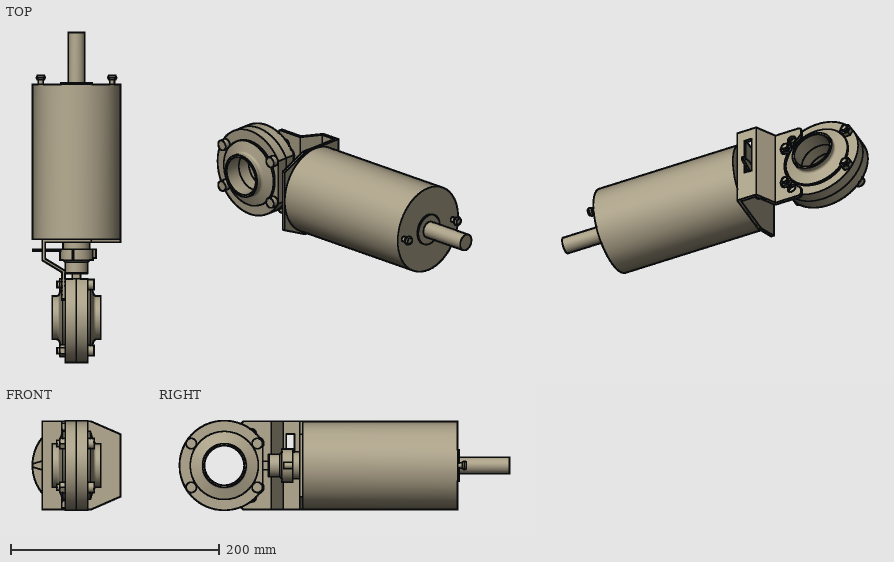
import cadquery as cq
import math


flange_diameter = 86.43
flange_width = 22.0
half_width = flange_width / 2
stem_flat_y = 37.2
boss_diameter = 65.5
boss_height = 2.3
cone_end_diameter = 46.0
cone_end_x = 16.5
pipe_diameter = 42.0
pipe_fillet_end_x = 19.6
pipe_end_x = 23.5
bore_diameter = 38.0

seal_diameter = 54.0
seal_width = 13.4

bolt_y = 31.75
bolt_z = 21.05
bolt_places = [(y, z) for y in (-bolt_y, bolt_y) for z in (-bolt_z, bolt_z)]
bolt_diameter = 6.0
bolt_head_diameter = 10.0
bolt_head_height = 6.0
bolt_tip_length = 2.6
nut_across_flats = 10.0
nut_corner_diameter = nut_across_flats / math.cos(math.pi / 6)
nut_height = 5.2
nut_chamfer = 0.6

actuator_diameter = 85.0
actuator_length = 149.0
overall_length = 317.56
rod_diameter = 16.0
rod_length = 50.0
rod_end_y = overall_length - flange_diameter / 2
actuator_top_y = rod_end_y - rod_length
actuator_bottom_y = actuator_top_y - actuator_length
collar_diameter = 30.0
collar_height = 1.5
plug_offset = 34.3
plug_neck_diameter = 5.0
plug_neck_length = 4.5
plug_head_diameter = 8.5
plug_face_diameter = 6.5
plug_head_height = 4.0

sheet = 3.0
bracket_width = 85.0
plate_top_y = actuator_bottom_y
plate_bottom_y = plate_top_y - sheet
plate_end_x = actuator_diameter / 2
plate_taper_x = 14.0
plate_end_width = 60.0
wall_outer_x = -33.0
foot_inner_x = -half_width
foot_outer_x = foot_inner_x - sheet
upper_bend_y = 55.0
bend_angle = math.radians(31)
lower_bend_y = upper_bend_y - (foot_outer_x - wall_outer_x) * math.tan(bend_angle)
bend_shift = sheet * math.tan((math.pi / 2 - bend_angle) / 2)
foot_end_y = 16.5
foot_corner_chamfer = 1.8
notch_radius = 34.2
notch_corner_z = 33.8
notch_throat_z = 21.0
notch_throat_y = math.sqrt(notch_radius**2 - notch_throat_z**2)
nut_clearance_diameter = 12.0
mount_hole_diameter = 8.5
mount_hole_y = 26.3
mount_hole_z = 30.7
window_y = 63.6
window_width = 7.7
window_bottom_z = -10.2
window_top_z = 30.0

neck_diameter = 26.0
sleeve_diameter = 22.0
sleeve_bottom_y = 42.4
sleeve_chamfer = 0.7
shoulder_height = (neck_diameter - sleeve_diameter) / 2
stem_size = 8.2

ring_diameter = 32.0
ring_top_y = 65.9
ring_bottom_y = 55.4
pointer_thickness = 2.0
pointer_tip_x = -42.0
pointer_tip_width = 3.2
pointer_root_x = -14.0
pointer_shoulder_x = -30.0
pointer_slope = 0.3
pointer_root_width = pointer_tip_width + 2 * pointer_slope * (pointer_shoulder_x - pointer_tip_x)
lug_end_x = 18.8
lug_height = 8.6
lug_width = 6.0
slit_x = -3.4
slit_width = 1.5


def rod_y(diameter, y_start, y_end, x=0, z=0):
    """Cylinder parallel to the Y axis."""
    base = cq.Workplane("XZ", origin=(x, y_start, z)).circle(diameter / 2)
    return base.extrude(-(y_end - y_start))


def rod_x(diameter, x_start, x_end, y=0, z=0):
    """Cylinder parallel to the X axis."""
    base = cq.Workplane("YZ", origin=(x_start, y, z)).circle(diameter / 2)
    return base.extrude(x_end - x_start)


def make_stem():
    """Square stem from the seal up to the underside of the coupling sleeve."""
    stem = cq.Workplane("XY").box(stem_size, sleeve_bottom_y, stem_size)
    stem = stem.translate((0, sleeve_bottom_y / 2, 0))
    return stem.cut(rod_x(seal_diameter, -half_width, half_width))


def make_seal():
    """Flat ring lining the middle of the bore."""
    ring = rod_x(seal_diameter, -seal_width / 2, seal_width / 2)
    return ring.cut(rod_x(bore_diameter, -seal_width / 2, seal_width / 2))


def make_plain_half():
    """Valve half on the +X side: rim, boss, cone and pipe stub, without bolt heads."""
    boss_x = half_width + boss_height
    arc_bulge = math.sqrt(0.5)
    fillet_rise = (cone_end_diameter - pipe_diameter) / 2
    fillet_run = pipe_fillet_end_x - cone_end_x
    arc_middle = (
        pipe_fillet_end_x - fillet_run * arc_bulge,
        pipe_diameter / 2 + fillet_rise * (1 - arc_bulge),
    )
    half = (
        cq.Workplane("XY")
        .moveTo(0, bore_diameter / 2)
        .lineTo(0, flange_diameter / 2)
        .lineTo(half_width, flange_diameter / 2)
        .lineTo(half_width, boss_diameter / 2)
        .lineTo(boss_x, boss_diameter / 2)
        .lineTo(cone_end_x, cone_end_diameter / 2)
        .threePointArc(arc_middle, (pipe_fillet_end_x, pipe_diameter / 2))
        .lineTo(pipe_end_x, pipe_diameter / 2)
        .lineTo(pipe_end_x, bore_diameter / 2)
        .close()
        .revolve(360, (0, 0, 0), (1, 0, 0))
    )
    beyond_flat = cq.Workplane("XY").box(
        flange_width * 2, flange_diameter, flange_diameter
    ).translate((0, stem_flat_y + flange_diameter / 2, 0))
    seal_recess = rod_x(seal_diameter, -seal_width / 2, seal_width / 2)
    return half.cut(beyond_flat).cut(seal_recess).cut(make_stem())


def make_nut(y, z):
    """Hex nut standing on the -X face, its outer corners chamfered, with the bolt tip."""
    hexagon = (
        cq.Workplane("YZ", origin=(-half_width, y, z))
        .polygon(6, nut_corner_diameter)
        .extrude(-nut_height)
    )
    rounding = rod_x(nut_corner_diameter, -half_width - nut_height, -half_width, y, z)
    rounding = rounding.faces("<X").chamfer(nut_chamfer)
    tip = rod_x(bolt_diameter, -half_width - nut_height - bolt_tip_length, -half_width, y, z)
    return hexagon.intersect(rounding).union(tip)


def make_head_half():
    """Valve half on the +X side with the round bolt heads."""
    half = make_plain_half()
    for y, z in bolt_places:
        half = half.union(rod_x(bolt_head_diameter, half_width, half_width + bolt_head_height, y, z))
    return half


def make_nut_half():
    """Valve half on the -X side with the nuts and bolt tips."""
    half = make_plain_half().mirror("YZ")
    for y, z in bolt_places:
        half = half.union(make_nut(y, z))
    return half


def make_coupling():
    """Square stem, sleeve and wider neck, reaching the actuator through the bracket."""
    shoulder_bottom_y = ring_bottom_y - shoulder_height
    sleeve = rod_y(sleeve_diameter, sleeve_bottom_y, shoulder_bottom_y)
    sleeve = sleeve.faces("<Y").chamfer(sleeve_chamfer)
    shoulder = (
        cq.Workplane("XY")
        .moveTo(0, shoulder_bottom_y)
        .lineTo(sleeve_diameter / 2, shoulder_bottom_y)
        .lineTo(neck_diameter / 2, ring_bottom_y)
        .lineTo(0, ring_bottom_y)
        .close()
        .revolve(360, (0, 0, 0), (0, 1, 0))
    )
    neck = rod_y(neck_diameter, ring_bottom_y, plate_top_y)
    return make_stem().union(sleeve).union(shoulder).union(neck)


def make_indicator():
    """Slit ring round the coupling neck with a tapered pointer and a round-ended lug."""
    ring = rod_y(ring_diameter, ring_bottom_y, ring_top_y)
    pointer = (
        cq.Workplane("XZ", origin=(0, ring_top_y, 0))
        .polyline([
            (pointer_tip_x, -pointer_tip_width / 2),
            (pointer_shoulder_x, -pointer_root_width / 2),
            (pointer_root_x, -pointer_root_width / 2),
            (pointer_root_x, pointer_root_width / 2),
            (pointer_shoulder_x, pointer_root_width / 2),
            (pointer_tip_x, pointer_tip_width / 2),
        ])
        .close()
        .extrude(pointer_thickness)
    )
    lug_centre_x = lug_end_x - lug_width / 2
    lug = cq.Workplane("XY").box(lug_centre_x, lug_height, lug_width).translate(
        (lug_centre_x / 2, ring_top_y - lug_height / 2, 0)
    )
    lug = lug.union(rod_y(lug_width, ring_top_y - lug_height, ring_top_y, lug_centre_x))
    slit = cq.Workplane("XY").box(slit_width, ring_top_y, ring_diameter).translate(
        (slit_x, ring_top_y, ring_diameter / 2)
    )
    neck_hole = rod_y(neck_diameter, ring_bottom_y, ring_top_y)
    return ring.union(pointer).union(lug).cut(slit).cut(neck_hole)


def make_bracket():
    """Folded sheet from the actuator end down to the valve flange."""
    sheet_profile = (
        cq.Workplane("XY", origin=(0, 0, -bracket_width / 2))
        .polyline([
            (plate_end_x, plate_top_y),
            (wall_outer_x, plate_top_y),
            (wall_outer_x, upper_bend_y),
            (foot_outer_x, lower_bend_y),
            (foot_outer_x, foot_end_y),
            (foot_inner_x, foot_end_y),
            (foot_inner_x, lower_bend_y + bend_shift),
            (wall_outer_x + sheet, upper_bend_y + bend_shift),
            (wall_outer_x + sheet, plate_bottom_y),
            (plate_end_x, plate_bottom_y),
        ])
        .close()
        .extrude(bracket_width)
    )
    plate_outline = (
        cq.Workplane("XZ", origin=(0, plate_top_y, 0))
        .polyline([
            (wall_outer_x, -bracket_width / 2),
            (plate_taper_x, -bracket_width / 2),
            (plate_end_x, -plate_end_width / 2),
            (plate_end_x, plate_end_width / 2),
            (plate_taper_x, bracket_width / 2),
            (wall_outer_x, bracket_width / 2),
        ])
        .close()
        .extrude(plate_top_y)
    )
    bracket = sheet_profile.intersect(plate_outline)
    bracket = bracket.edges("|X and <Y").chamfer(foot_corner_chamfer)

    notch = (
        cq.Workplane("YZ", origin=(foot_outer_x, 0, 0))
        .moveTo(foot_end_y, -notch_corner_z)
        .lineTo(notch_throat_y, -notch_throat_z)
        .threePointArc((notch_radius, 0), (notch_throat_y, notch_throat_z))
        .lineTo(foot_end_y, notch_corner_z)
        .close()
        .extrude(sheet)
    )
    bracket = bracket.cut(notch)

    for side in (-1, 1):
        nut_hole = rod_x(nut_clearance_diameter, foot_outer_x, foot_inner_x, bolt_y, side * bolt_z)
        mount_hole = rod_x(
            mount_hole_diameter, foot_outer_x, foot_inner_x, mount_hole_y, side * mount_hole_z
        )
        bracket = bracket.cut(nut_hole).cut(mount_hole)

    window = cq.Workplane("XY").box(sheet, window_width, window_top_z - window_bottom_z).translate(
        (wall_outer_x + sheet / 2, window_y, (window_top_z + window_bottom_z) / 2)
    )
    neck_hole = rod_y(neck_diameter, plate_bottom_y, plate_top_y)
    return bracket.cut(window).cut(neck_hole)


def make_plug(x):
    """Air plug: thin neck under a double-tapered head."""
    neck_top_y = actuator_top_y + plug_neck_length
    head_top_y = neck_top_y + plug_head_height
    return (
        cq.Workplane("XY")
        .moveTo(0, actuator_top_y)
        .lineTo(plug_neck_diameter / 2, actuator_top_y)
        .lineTo(plug_neck_diameter / 2, neck_top_y)
        .lineTo(plug_face_diameter / 2, neck_top_y)
        .lineTo(plug_head_diameter / 2, neck_top_y + plug_head_height / 2)
        .lineTo(plug_face_diameter / 2, head_top_y)
        .lineTo(0, head_top_y)
        .close()
        .revolve(360, (0, 0, 0), (0, 1, 0))
        .translate((x, 0, 0))
    )


def make_actuator():
    """Cylinder with a collar, a rod and two air plugs on its far end."""
    actuator = rod_y(actuator_diameter, actuator_bottom_y, actuator_top_y)
    actuator = actuator.union(rod_y(collar_diameter, actuator_top_y, actuator_top_y + collar_height))
    actuator = actuator.union(rod_y(rod_diameter, actuator_top_y, rod_end_y))
    for x in (-plug_offset, plug_offset):
        actuator = actuator.union(make_plug(x))
    return actuator


actuator = make_actuator()
bracket = make_bracket()
coupling = make_coupling()
indicator = make_indicator()
seal = make_seal()
head_half = make_head_half()
nut_half = make_nut_half()

result = cq.Compound.makeCompound([
    actuator.val(),
    bracket.val(),
    coupling.val(),
    indicator.val(),
    seal.val(),
    head_half.val(),
    nut_half.val(),
])